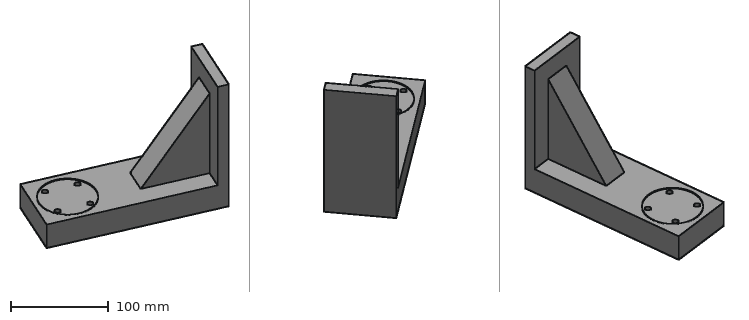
import cadquery as cq

width = 75.0
length = 200.0
height = 155.0
base_thickness = 30.0
wall_thickness = 12.5

rib_width = 30.0
rib_length = 75.5
rib_height = 101.2

seat_diameter = 62.5
seat_depth = 1.2
hole_diameter = 6.5
hole_spacing = 35.8
seat_center_y = (width - length) / 2

wall_face_y = length / 2 - wall_thickness


def l_profile_body():
    """Base plate with an upright wall at its +Y end."""
    base = cq.Workplane("XY").box(width, length, base_thickness, centered=(True, True, False))
    wall = (
        cq.Workplane("XY")
        .box(width, wall_thickness, height, centered=(True, False, False))
        .translate((0, wall_face_y, 0))
    )
    return base.union(wall)


def rib():
    """Triangular gusset between the base top and the wall face."""
    return (
        cq.Workplane("YZ")
        .moveTo(wall_face_y, base_thickness)
        .lineTo(wall_face_y - rib_length, base_thickness)
        .lineTo(wall_face_y, base_thickness + rib_height)
        .close()
        .extrude(rib_width / 2, both=True)
    )


def seat():
    """Volume of the round recess in the base top."""
    return (
        cq.Workplane("XY", origin=(0, seat_center_y, base_thickness - seat_depth))
        .circle(seat_diameter / 2)
        .extrude(seat_depth)
    )


def mounting_holes():
    """Volumes of the four holes through the base."""
    return (
        cq.Workplane("XY", origin=(0, seat_center_y, 0))
        .rarray(hole_spacing, hole_spacing, 2, 2)
        .circle(hole_diameter / 2)
        .extrude(base_thickness)
    )


result = l_profile_body().union(rib()).cut(seat()).cut(mounting_holes())